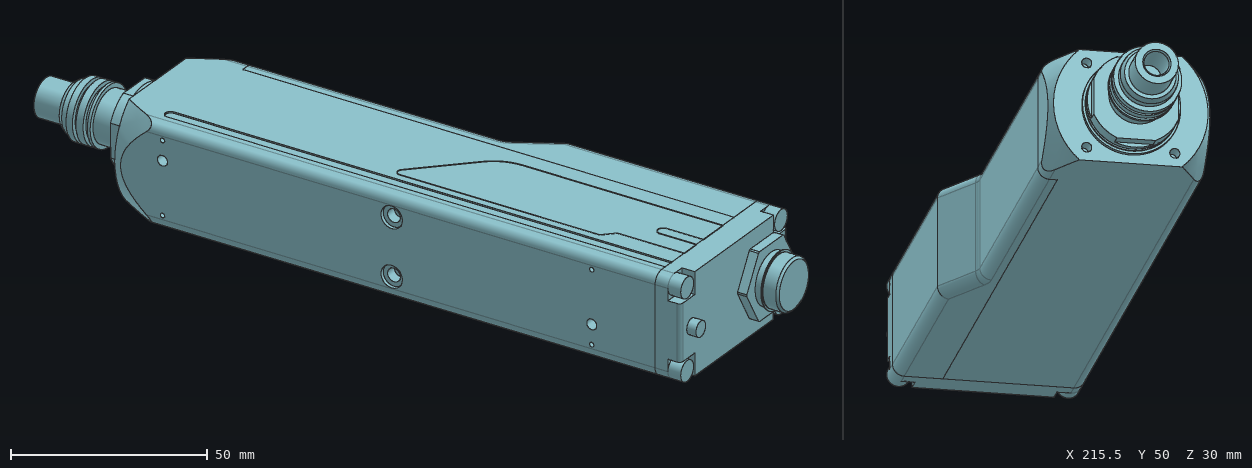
import cadquery as cq
import math


HEIGHT = 30.0
HALF_HEIGHT = HEIGHT / 2
WIDTH = 50.0
NARROW_WIDTH = 42.0
HALF_NARROW = NARROW_WIDTH / 2
WIDE_Y = WIDTH - HALF_NARROW
EDGE_RADIUS = 3.0

LENGTH = 215.5
SPINDLE_LENGTH = 33.8
REAR_END = LENGTH - SPINDLE_LENGTH
HOUSING_LENGTH = 164.2
REAR_COVER_THICKNESS = 7.8
REAR_FACE = HOUSING_LENGTH + REAR_COVER_THICKNESS

STEP_START = 92.0
STEP_ANGLE = 30
STEP_END = STEP_START + (WIDE_Y - HALF_NARROW) / math.tan(math.radians(STEP_ANGLE))
STEP_INNER_RADIUS = 4.7

SIDE_COVER_START = 15.5
SIDE_COVER_Y = 16.0

CONE_FRONT_RADIUS = 20.0
CONE_ANGLE = 22
CONE_LENGTH = 43

PANEL_DEPTH = 0.2
PANEL_TOP_Y = 10.8
PANEL_BOTTOM_Y = -10.5
PANEL_NOTCH_Y = -7.3
PANEL_TIP_RADIUS = 1.5
PANEL_SLOPE_CORNER_X = 97.8
PANEL_SHOULDER_RADIUS = 13.4
PANEL_NOTCH_X = 140.7
ISLAND_START = 151.5
ISLAND_WIDTH = 3.2
GROOVE_DEPTH = 0.5
GROOVE_START = 11.9
GROOVE_WIDTH = 3.2
GROOVE_Y = -14.7

FACE_HOLE_OFFSET = 11.5
FACE_HOLE_RADIUS = 1.3
FACE_HOLE_DEPTH = 4.3

FRONT_HOLES_X = 15.0
REAR_HOLES_X = 145.0
LOCATING_HOLE_RADIUS = 1.5
FRONT_LOCATING_Z = 5.0
REAR_LOCATING_Z = -FRONT_LOCATING_Z
SMALL_HOLE_RADIUS = 0.6
SMALL_HOLE_Z = 10.8
SCREW_HOLE_X = 84.5
SCREW_HOLE_SPACING = 17.0
SCREW_HOLE_Z = SCREW_HOLE_SPACING / 2
SCREW_HOLE_RADIUS = 2.0
SCREW_SEAT_RADIUS = 3.2
SCREW_SEAT_DEPTH = 1.0
SIDE_HOLE_DEPTH = 4.3

COVER_EDGE_RADIUS = 1.0
SCREW_HEAD_HEIGHT = 3.9
SCREW_NOTCH_WIDTH = 7.1
STUD_DIAMETER = 4.5
STUD_RADIUS = STUD_DIAMETER / 2
STUD_LENGTH = 2.8
STUD_Y = -16.0

CONNECTOR_Y = 17.0
HEX_SIDES = 6
HEX_ACROSS_FLATS = 20.0
HEX_ROUND_RADIUS = 11.5
HEX_THICKNESS = 2.8
BARREL_RADIUS = 7.5
BARREL_CHAMFER = 0.6
BARREL_RING_RADIUS = 8.2
BARREL_RING_START = 2.2
BARREL_RING_WIDTH = 0.2

FLANGE_RADIUS = 12.7
FLANGE_FRONT = 1.0
COLLAR_RADIUS = 12.0
COLLAR_FRONT = 7.1
COLLAR_FLATS_REAR = 4.0
COLLAR_ACROSS_FLATS = 22.0
RELIEF_RADIUS = 11.6
RELIEF_FRONT = 2.5
RELIEF_WIDTH = 1.0
BEARING_RADIUS = 6.2
NECK_RADIUS = 5.5
NECK_FRONT = 9.0
SLEEVE_RADIUS = 7.5
SLEEVE_FRONT = 24.1
SLEEVE_CONE_FRONT = 25.5
SLEEVE_TIP_RADIUS = 6.7
RIB_RADIUS = 8.8
RIBS = [(14.7, 0.9), (16.8, 2.2), (20.0, 2.0)]
SHAFT_RADIUS = 5.5
BORE_RADIUS = 3.2
BORE_DEPTH = 10.8
BORE_CHAMFER = 0.5


def box_between(x_range, y_range, z_range):
    """Box between the given limits."""
    sizes = [high - low for low, high in (x_range, y_range, z_range)]
    corner = (x_range[0], y_range[0], z_range[0])
    return cq.Workplane("XY").box(*sizes, centered=False).translate(corner)


def x_disc(radius, start, length, y=0.0, z=0.0):
    """Cylinder along X from x = start."""
    return cq.Workplane("YZ", origin=(start, y, z)).circle(radius).extrude(length)


def side_hole(x, z, radius, depth):
    """Cutter for a round hole that goes into the -Y face."""
    return cq.Workplane("XZ", origin=(x, -HALF_NARROW, z)).circle(radius).extrude(-depth)


def shell_envelope():
    """Outer form shared by the housing and the side cover."""
    outline = [
        (0, -HALF_NARROW),
        (HOUSING_LENGTH, -HALF_NARROW),
        (HOUSING_LENGTH, WIDE_Y),
        (STEP_END, WIDE_Y),
        (STEP_START, HALF_NARROW),
        (0, HALF_NARROW),
    ]
    step_corner = cq.selectors.NearestToPointSelector((STEP_START, HALF_NARROW, 0))
    envelope = (
        cq.Workplane("XY", origin=(0, 0, -HALF_HEIGHT))
        .polyline(outline)
        .close()
        .extrude(HEIGHT)
        .edges(step_corner)
        .fillet(STEP_INNER_RADIUS)
    )
    long_edges = envelope.faces("<Z or >Z").edges("not(<X or >X)")
    return envelope.newObject(long_edges.vals()).fillet(EDGE_RADIUS)


def front_cone():
    """Widening cone and the full space behind it; what lies outside is cut off the front corners."""
    far_radius = CONE_FRONT_RADIUS + CONE_LENGTH * math.tan(math.radians(CONE_ANGLE))
    return (
        cq.Workplane("XY")
        .polyline(
            [
                (0, 0),
                (0, CONE_FRONT_RADIUS),
                (CONE_LENGTH, far_radius),
                (HOUSING_LENGTH, far_radius),
                (HOUSING_LENGTH, 0),
            ]
        )
        .close()
        .revolve(360, (0, 0, 0), (1, 0, 0))
    )


def side_region():
    """Space that the side cover takes from the envelope."""
    return box_between(
        (SIDE_COVER_START, HOUSING_LENGTH),
        (SIDE_COVER_Y, WIDE_Y),
        (-HALF_HEIGHT, HALF_HEIGHT),
    )


def top_slot(start, y, width, depth):
    """Slot in the top face with a round front end, open at the rear of the housing."""
    radius = width / 2
    return (
        cq.Workplane("XY", origin=(0, 0, HALF_HEIGHT))
        .moveTo(HOUSING_LENGTH, y - radius)
        .lineTo(start + radius, y - radius)
        .threePointArc((start, y), (start + radius, y + radius))
        .lineTo(HOUSING_LENGTH, y + radius)
        .close()
        .extrude(-depth)
    )


def panel_recess():
    """Shallow panel in the top face, around a tongue that stays level with the face."""
    slope_drop = PANEL_TOP_Y - PANEL_BOTTOM_Y
    notch_rise = PANEL_NOTCH_Y - PANEL_BOTTOM_Y
    tip = (PANEL_SLOPE_CORNER_X - slope_drop, PANEL_BOTTOM_Y)
    shoulder = (PANEL_SLOPE_CORNER_X, PANEL_TOP_Y)
    outline = [
        (HOUSING_LENGTH, PANEL_TOP_Y),
        shoulder,
        tip,
        (PANEL_NOTCH_X, PANEL_BOTTOM_Y),
        (PANEL_NOTCH_X + notch_rise, PANEL_NOTCH_Y),
        (HOUSING_LENGTH, PANEL_NOTCH_Y),
    ]
    middle_z = HALF_HEIGHT - PANEL_DEPTH / 2
    panel = (
        cq.Workplane("XY", origin=(0, 0, HALF_HEIGHT))
        .polyline(outline)
        .close()
        .extrude(-PANEL_DEPTH)
        .edges(cq.selectors.NearestToPointSelector((*shoulder, middle_z)))
        .fillet(PANEL_SHOULDER_RADIUS)
        .edges(cq.selectors.NearestToPointSelector((*tip, middle_z)))
        .fillet(PANEL_TIP_RADIUS)
    )
    return panel.cut(top_slot(ISLAND_START, 0, ISLAND_WIDTH, PANEL_DEPTH))


def cut_face_holes(body):
    """Four holes round the spindle in the front face."""
    for y in (-FACE_HOLE_OFFSET, FACE_HOLE_OFFSET):
        for z in (-FACE_HOLE_OFFSET, FACE_HOLE_OFFSET):
            body = body.cut(x_disc(FACE_HOLE_RADIUS, 0, FACE_HOLE_DEPTH, y, z))
    return body


def cut_side_holes(body):
    """Locating holes, small holes and counterbored screw holes in the -Y face."""
    for x, locating_z in ((FRONT_HOLES_X, FRONT_LOCATING_Z), (REAR_HOLES_X, REAR_LOCATING_Z)):
        body = body.cut(side_hole(x, locating_z, LOCATING_HOLE_RADIUS, SIDE_HOLE_DEPTH))
        for z in (-SMALL_HOLE_Z, SMALL_HOLE_Z):
            body = body.cut(side_hole(x, z, SMALL_HOLE_RADIUS, SIDE_HOLE_DEPTH))
    for z in (-SCREW_HOLE_Z, SCREW_HOLE_Z):
        body = body.cut(side_hole(SCREW_HOLE_X, z, SCREW_SEAT_RADIUS, SCREW_SEAT_DEPTH))
        body = body.cut(side_hole(SCREW_HOLE_X, z, SCREW_HOLE_RADIUS, SIDE_HOLE_DEPTH))
    return body


def make_housing():
    housing = shell_envelope().intersect(front_cone()).cut(side_region())
    housing = housing.cut(panel_recess())
    housing = housing.cut(top_slot(GROOVE_START, GROOVE_Y, GROOVE_WIDTH, GROOVE_DEPTH))
    housing = cut_face_holes(housing)
    return cut_side_holes(housing)


def make_side_cover():
    return shell_envelope().intersect(side_region())


def make_rear_cover():
    """End plate with four corner screw heads and a small round stud."""
    block = box_between(
        (HOUSING_LENGTH, REAR_FACE),
        (-HALF_NARROW, WIDE_Y),
        (-HALF_HEIGHT, HALF_HEIGHT),
    )
    rounded_section = block.edges("|X").fillet(EDGE_RADIUS)
    plate = block.faces(">X").edges("|Z").fillet(COVER_EDGE_RADIUS).intersect(rounded_section)
    seat_x = REAR_FACE - SCREW_HEAD_HEIGHT
    head_z = HALF_HEIGHT - EDGE_RADIUS
    for y in (-HALF_NARROW + EDGE_RADIUS, WIDE_Y - EDGE_RADIUS):
        for z in (-head_z, head_z):
            notch = cq.Workplane("XY").box(2 * SCREW_HEAD_HEIGHT, SCREW_NOTCH_WIDTH, SCREW_NOTCH_WIDTH)
            plate = plate.cut(notch.translate((REAR_FACE, y, z)))
            plate = plate.union(x_disc(EDGE_RADIUS, seat_x, SCREW_HEAD_HEIGHT, y, z))
    return plate.union(x_disc(STUD_RADIUS, REAR_FACE, STUD_LENGTH, STUD_Y))


def make_connector():
    """Hexagonal base, with corners towards +Y and -Y, and a ringed round barrel."""
    barrel_start = REAR_FACE + HEX_THICKNESS
    ring_start = barrel_start + BARREL_RING_START
    across_corners = HEX_ACROSS_FLATS / math.cos(math.pi / HEX_SIDES)
    base = cq.Workplane("YZ", origin=(REAR_FACE, CONNECTOR_Y, 0)).polygon(HEX_SIDES, across_corners)
    base = base.extrude(HEX_THICKNESS)
    base = base.intersect(x_disc(HEX_ROUND_RADIUS, REAR_FACE, HEX_THICKNESS, CONNECTOR_Y))
    barrel = x_disc(BARREL_RADIUS, barrel_start, REAR_END - barrel_start, CONNECTOR_Y)
    barrel = barrel.faces(">X").chamfer(BARREL_CHAMFER)
    ring = x_disc(BARREL_RING_RADIUS, ring_start, BARREL_RING_WIDTH, CONNECTOR_Y)
    return base.union(barrel).union(ring)


def make_spindle():
    """Turned nose and drive shaft: a collar with four flats, a ribbed sleeve and a bored tip."""
    relief_rear = RELIEF_FRONT - RELIEF_WIDTH
    profile = [
        (0, 0),
        (0, FLANGE_RADIUS),
        (-FLANGE_FRONT, FLANGE_RADIUS),
        (-FLANGE_FRONT, COLLAR_RADIUS),
        (-relief_rear, COLLAR_RADIUS),
        (-relief_rear, RELIEF_RADIUS),
        (-RELIEF_FRONT, RELIEF_RADIUS),
        (-RELIEF_FRONT, COLLAR_RADIUS),
        (-COLLAR_FLATS_REAR, COLLAR_RADIUS),
        (-COLLAR_FLATS_REAR, BEARING_RADIUS),
        (-COLLAR_FRONT, BEARING_RADIUS),
        (-NECK_FRONT, NECK_RADIUS),
        (-NECK_FRONT, SLEEVE_RADIUS),
        (-SLEEVE_FRONT, SLEEVE_RADIUS),
        (-SLEEVE_CONE_FRONT, SLEEVE_TIP_RADIUS),
        (-SLEEVE_CONE_FRONT, SHAFT_RADIUS),
        (-SPINDLE_LENGTH, SHAFT_RADIUS),
        (-SPINDLE_LENGTH, 0),
    ]
    spindle = cq.Workplane("XZ").polyline(profile).close().revolve(360, (0, 0, 0), (1, 0, 0))
    flats_length = COLLAR_FRONT - COLLAR_FLATS_REAR
    half_flats = COLLAR_ACROSS_FLATS / 2
    flats_limits = (-half_flats, half_flats)
    flats = box_between((-COLLAR_FRONT, -COLLAR_FLATS_REAR), flats_limits, flats_limits)
    flats = flats.intersect(x_disc(COLLAR_RADIUS, -COLLAR_FRONT, flats_length))
    spindle = spindle.union(flats)
    for rear, width in RIBS:
        spindle = spindle.union(x_disc(RIB_RADIUS, -rear - width, width))
    spindle = spindle.cut(x_disc(BORE_RADIUS, -SPINDLE_LENGTH, BORE_DEPTH))
    return spindle.faces("<X").edges(cq.selectors.RadiusNthSelector(0)).chamfer(BORE_CHAMFER)


housing = make_housing()
side_cover = make_side_cover()
rear_cover = make_rear_cover()
connector = make_connector()
spindle = make_spindle()

result = cq.Compound.makeCompound(
    [housing.val(), side_cover.val(), rear_cover.val(), connector.val(), spindle.val()]
)